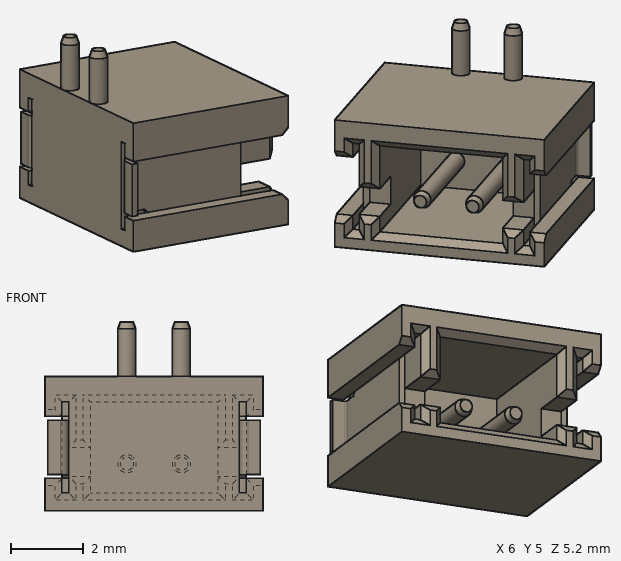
import cadquery as cq

width = 6.0
depth = 5.0
height = 3.7
front_y = -depth / 2
mouth_y = depth / 2

sheet = 0.18
bend_radius = 0.05
clip_inner_x = 2.35
clip_outer_x = 2.93
leg_bottom_z = 0.5
leg_height = 2.5
neck_height = 1.5
shoulder_setback = 0.75
shoulder_chamfer = 0.1
leg_top_z = leg_bottom_z + leg_height
leg_mid_z = leg_bottom_z + leg_height / 2
leg_end_setback = 1.25
leg_end_y = mouth_y - leg_end_setback

flank_slot_bottom_z = 0.9
flank_slot_top_z = 2.6
window_bottom_z = 0.95
window_top_z = 1.75
cavity_half_width = 1.76
back_wall = 0.75
flare = 0.2
flare_angle = 45
cavity_floor_y = front_y + back_wall

pin_pitch = 1.5
pin_diameter = 0.5
pin_tip_diameter = 0.36
pin_tip_length = 0.2
tail_length = 1.5
contact_z = 1.3
contact_setback = 0.7
contact_length = mouth_y - contact_setback - cavity_floor_y
pin_xs = (-pin_pitch / 2, pin_pitch / 2)


def box_between(x_range, y_range, z_range):
    """Box given by its lower and upper limit along each axis."""
    limits = (x_range, y_range, z_range)
    size = [high - low for low, high in limits]
    corner = [low for low, high in limits]
    return cq.Workplane("XY").box(*size, centered=False).translate(tuple(corner))


def flared_opening(x_range, z_range, floor_y):
    """Rectangular cutter open at the mouth, with a sloped lead-in."""
    x_size = x_range[1] - x_range[0]
    z_size = z_range[1] - z_range[0]
    center = (sum(x_range) / 2, mouth_y, sum(z_range) / 2)
    lead_in = (
        cq.Workplane("XZ", origin=center)
        .rect(x_size + 2 * flare, z_size + 2 * flare)
        .extrude(flare, taper=flare_angle)
    )
    return box_between(x_range, (floor_y, mouth_y), z_range).union(lead_in)


def make_housing():
    housing = box_between((-width / 2, width / 2), (front_y, mouth_y), (0, height))

    leg_z_range = (leg_bottom_z, leg_top_z)
    cavity_x_range = (-cavity_half_width, cavity_half_width)
    groove_x_range = (clip_inner_x, clip_inner_x + sheet)

    cavity = flared_opening(cavity_x_range, leg_z_range, cavity_floor_y)
    window = flared_opening((-width, width), (window_bottom_z, window_top_z), leg_end_y)
    flank_slot = flared_opening((clip_inner_x, width), (flank_slot_bottom_z, flank_slot_top_z), front_y)
    leg_groove = flared_opening(groove_x_range, leg_z_range, front_y)
    flank_cut = flank_slot.union(leg_groove)
    return housing.cut(cavity).cut(window).cut(flank_cut).cut(flank_cut.mirror("YZ"))


def make_clip():
    """Clip on the +X flank: a leg along Y, bent outward into a flange on the front."""
    outer_radius = sheet + bend_radius
    bend_x = clip_inner_x + outer_radius
    bend_y = front_y + outer_radius
    leg_outer_x = clip_inner_x + sheet
    flange_back_y = front_y + sheet
    bent_sheet = (
        cq.Workplane("XY", origin=(0, 0, leg_bottom_z))
        .moveTo(clip_inner_x, leg_end_y)
        .lineTo(clip_inner_x, bend_y)
        .radiusArc((bend_x, front_y), -outer_radius)
        .lineTo(clip_outer_x, front_y)
        .lineTo(clip_outer_x, flange_back_y)
        .lineTo(bend_x, flange_back_y)
        .radiusArc((leg_outer_x, bend_y), bend_radius)
        .lineTo(leg_outer_x, leg_end_y)
        .close()
        .extrude(leg_height)
    )

    shoulder_y = front_y + shoulder_setback
    half_neck = neck_height / 2
    upper_outline = [
        (front_y, 0),
        (front_y, half_neck),
        (shoulder_y - shoulder_chamfer, half_neck),
        (shoulder_y, half_neck + shoulder_chamfer),
        (shoulder_y, leg_height / 2),
        (leg_end_y, leg_height / 2),
        (leg_end_y, 0),
    ]
    side_shape = (
        cq.Workplane("YZ", origin=(0, 0, leg_mid_z))
        .polyline(upper_outline)
        .mirrorX()
        .extrude(width / 2)
    )
    return bent_sheet.intersect(side_shape)


def make_pin(length):
    """Round pin along +Y from the origin, with a conical tip."""
    radius = pin_diameter / 2
    tip_radius = pin_tip_diameter / 2
    profile = [
        (0, 0),
        (radius, 0),
        (radius, length - pin_tip_length),
        (tip_radius, length),
        (0, length),
    ]
    return cq.Workplane("XY").polyline(profile).close().revolve(360, (0, 0), (0, 1))


def make_contact(x):
    """Contact reaching from the cavity floor towards the mouth."""
    return make_pin(contact_length).translate((x, cavity_floor_y, contact_z))


def make_tail(x):
    """Tail standing on the top face, tangent to the plane of the front face."""
    upright_pin = make_pin(tail_length).rotate((0, 0, 0), (1, 0, 0), 90)
    return upright_pin.translate((x, front_y + pin_diameter / 2, height))


housing = make_housing()
right_clip = make_clip()
left_clip = right_clip.mirror("YZ")

contacts = [make_contact(x).val() for x in pin_xs]
tails = [make_tail(x).val() for x in pin_xs]

result = cq.Compound.makeCompound(
    [housing.val(), left_clip.val(), right_clip.val(), *contacts, *tails]
)